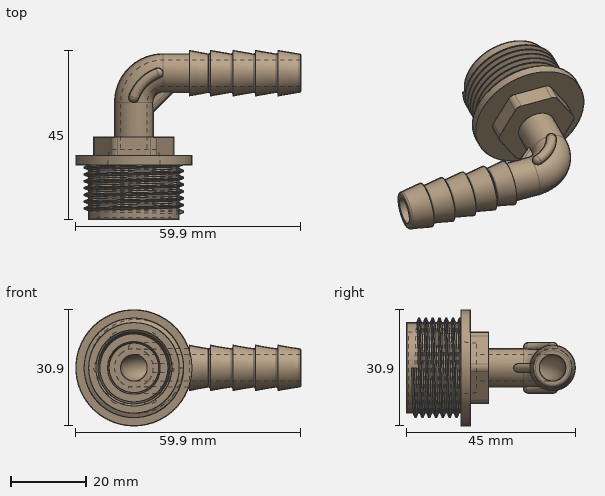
import cadquery as cq
import math

overall_length = 59.9

core_radius = 12.05
core_seam_angle = -90.0
flange_radius = 15.45
flange_start = 14.5
flange_end = 17.0
hex_end = 21.85
hex_across_flats = 19.05
hex_corner_radius = 2.0

thread_radius = 13.25
thread_start = 2.0
thread_length = 13.6
thread_turns = 7.5
thread_pitch = thread_length / thread_turns
thread_base_width = 1.45
thread_crest_width = 0.3
thread_overlap = 0.2

mouth_radius = 10.1
mouth_depth = 0.55
cavity_outer_radius = 9.6
cavity_inner_radius = 9.05
cavity_depth = flange_start
step_outer_radius = 7.0
step_inner_radius = 6.6
step_depth = 18.55

tube_radius = 5.15
bore_radius = 3.55
bend_radius = 7.8
hose_axis_y = 38.9
hose_tip_x = overall_length - flange_radius

barb_radius = 6.05
barb_end_radius = 5.1
first_barb_x = 14.75
second_barb_x = 20.35
barb_pitch = 6.0
barb_count = 5
neck_fillet = 0.5
tip_round = 0.5

rib_radius = 1.4
rib_offset_z = 5.4
rib_arc_inset = 10.4
rib_arc_radius = 11.2
rib_span = 48.0

web_half_thickness = 1.2
web_edge_y_at_axis = 23.35


def cylinder_y(radius, start, end):
    """Solid cylinder about the Y axis."""
    return cq.Workplane("XZ", origin=(0, start, 0)).circle(radius).extrude(start - end)


def threaded_body():
    """Plain core, round flange and corner-rounded hexagon, stacked along Y."""
    core = cylinder_y(core_radius, 0, flange_end).rotate((0, 0, 0), (0, 1, 0), core_seam_angle)
    flange = cylinder_y(flange_radius, flange_start, flange_end)
    hexagon = (
        cq.Workplane("XZ", origin=(0, flange_end, 0))
        .polygon(6, hex_across_flats / math.cos(math.pi / 6))
        .extrude(flange_end - hex_end)
        .edges("|Y")
        .fillet(hex_corner_radius)
    )
    return core.union(flange).union(hexagon)


def thread():
    """Right-handed thread that starts on the +X side and runs out inside the flange."""
    root_radius = core_radius - thread_overlap
    half_base = thread_base_width / 2
    half_crest = thread_crest_width / 2
    helix = cq.Wire.makeHelix(thread_pitch, thread_length, root_radius)
    ridge = (
        cq.Workplane("XZ")
        .moveTo(root_radius, -half_base)
        .lineTo(thread_radius, -half_crest)
        .lineTo(thread_radius, half_crest)
        .lineTo(root_radius, half_base)
        .close()
        .sweep(cq.Workplane(helix), isFrenet=True)
    )
    return ridge.rotate((0, 0, 0), (1, 0, 0), -90).translate((0, thread_start, 0))


def elbow(radius, start_y, end_x):
    """Round bar that follows the bent axis from start_y to end_x."""
    bend_start_y = hose_axis_y - bend_radius
    mid_inset = bend_radius * (1 - math.sqrt(0.5))
    path = (
        cq.Workplane("XY")
        .moveTo(0, start_y)
        .lineTo(0, bend_start_y)
        .threePointArc((mid_inset, hose_axis_y - mid_inset), (bend_radius, hose_axis_y))
        .lineTo(end_x, hose_axis_y)
    )
    return cq.Workplane("XZ", origin=(0, start_y, 0)).circle(radius).sweep(path)


def barbs():
    """Tapered barbs, revolved about the hose axis; heights are radii."""
    fillet_mid = neck_fillet * math.sqrt(0.5)
    round_inset = tip_round * (1 - math.sqrt(0.5))
    profile = cq.Workplane("XY", origin=(0, hose_axis_y, 0)).moveTo(first_barb_x, 0)
    profile = profile.lineTo(first_barb_x, barb_radius)
    for index in range(barb_count - 1):
        next_x = second_barb_x + index * barb_pitch
        profile = (
            profile.lineTo(next_x - neck_fillet, barb_end_radius)
            .threePointArc(
                (next_x - neck_fillet + fillet_mid, barb_end_radius + neck_fillet - fillet_mid),
                (next_x, barb_end_radius + neck_fillet),
            )
            .lineTo(next_x, barb_radius)
        )
    profile = (
        profile.lineTo(hose_tip_x - tip_round, barb_end_radius)
        .threePointArc(
            (hose_tip_x - round_inset, barb_end_radius - round_inset),
            (hose_tip_x, barb_end_radius - tip_round),
        )
        .lineTo(hose_tip_x, 0)
        .close()
    )
    return profile.revolve(360, (0, 0, 0), (1, 0, 0))


def side_rib(z):
    """Curved round rib with ball ends, lying on one side of the bend."""
    center = (rib_arc_inset, hose_axis_y - rib_arc_inset, z)
    start_angle = 45 + rib_span / 2
    bar = (
        cq.Workplane("XZ")
        .center(-rib_arc_radius, 0)
        .circle(rib_radius)
        .revolve(rib_span, (rib_arc_radius, 0.6), (rib_arc_radius, 0))
        .rotate((0, 0, 0), (0, 0, 1), rib_span - start_angle)
        .translate(center)
    )
    for angle in (start_angle, start_angle - rib_span):
        ball_x = center[0] - rib_arc_radius * math.cos(math.radians(angle))
        ball_y = center[1] + rib_arc_radius * math.sin(math.radians(angle))
        bar = bar.union(cq.Workplane("XY", origin=(ball_x, ball_y, z)).sphere(rib_radius))
    return bar


def web():
    """Triangular web whose 45 degree edge is rounded over its full thickness."""
    edge_inset = web_half_thickness * math.sqrt(2)
    round_y = web_edge_y_at_axis + edge_inset
    hose_x = hose_axis_y - round_y
    plate = (
        cq.Workplane("XY", origin=(0, 0, -web_half_thickness))
        .polyline([(0, round_y), (hose_x, hose_axis_y), (0, hose_axis_y)])
        .close()
        .extrude(2 * web_half_thickness)
    )
    round_edge = (
        cq.Workplane(cq.Plane(origin=(0, round_y, 0), xDir=(0, 0, 1), normal=(1, 1, 0)))
        .circle(web_half_thickness)
        .extrude(hose_x * math.sqrt(2))
    )
    return plate.union(round_edge)


def cavity():
    """Chamfered mouth, then two slightly tapered bores; points are (radius, depth)."""
    return (
        cq.Workplane("XY")
        .polyline([
            (0, 0),
            (mouth_radius, 0),
            (cavity_outer_radius, mouth_depth),
            (cavity_inner_radius, cavity_depth),
            (step_outer_radius, cavity_depth),
            (step_inner_radius, step_depth),
            (0, step_depth),
        ])
        .close()
        .revolve(360, (0, 0, 0), (0, 1, 0))
    )


result = threaded_body().union(thread())
result = result.union(elbow(tube_radius, flange_end, second_barb_x - neck_fillet))
result = result.union(barbs()).union(web())
for side in (1, -1):
    result = result.union(side_rib(side * rib_offset_z))
result = result.cut(cavity()).cut(elbow(bore_radius, flange_start, hose_tip_x))